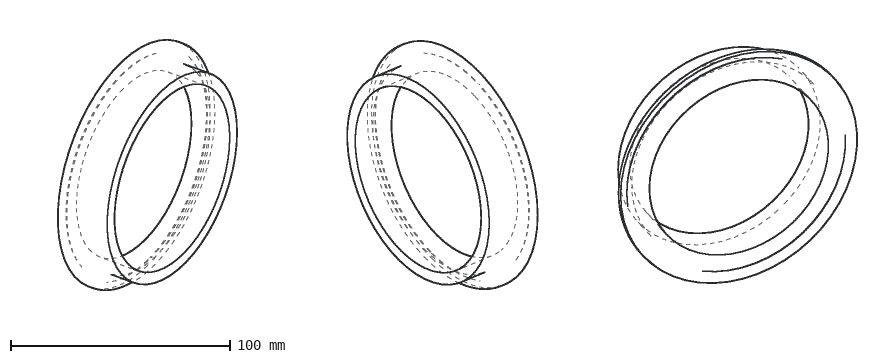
import cadquery as cq
import math

length = 21.5
flange_radius = 59.5
tube_radius = 50.8
bore_radius = 45.0

rim_width = 2.7
back_angle = 20.0
rim_fillet = 0.8
neck_fillet = 2.0

groove_outer_radius = 57.0
groove_inner_radius = 53.0
groove_arc_radius = 1.2
groove_lip_radius = 1.0


def turn(profile):
    """Revolve an (axial, radial) profile about the X axis."""
    return profile.close().revolve(360, (0, 0, 0), (1, 0, 0))


def fillet_ring(body, ring_x, fillet_radius):
    """Round the circular edge lying in the plane x = ring_x."""
    tolerance = 0.1
    reach = flange_radius + tolerance
    slab = cq.selectors.BoxSelector(
        (ring_x - tolerance, -reach, -reach),
        (ring_x + tolerance, reach, reach),
        boundingbox=True,
    )
    return body.edges(slab).fillet(fillet_radius)


def make_body():
    neck_x = rim_width + (flange_radius - tube_radius) * math.tan(math.radians(back_angle))
    outline = [
        (0, bore_radius),
        (0, flange_radius),
        (rim_width, flange_radius),
        (neck_x, tube_radius),
        (length, tube_radius),
        (length, bore_radius),
    ]
    body = turn(cq.Workplane("XY").polyline(outline))
    body = fillet_ring(body, rim_width, rim_fillet)
    body = fillet_ring(body, neck_x, neck_fillet)
    return body


def make_groove():
    middle_radius = (groove_outer_radius + groove_inner_radius) / 2
    half_width = (groove_outer_radius - groove_inner_radius) / 2
    angle = math.asin(half_width / (groove_arc_radius + groove_lip_radius))
    lip_depth = groove_lip_radius * (1 - math.cos(angle))
    groove_depth = lip_depth + groove_arc_radius * (1 - math.cos(angle))
    arc_half_width = groove_arc_radius * math.sin(angle)
    lip_mid_x = groove_lip_radius * (1 - math.cos(angle / 2))
    lip_mid_offset = half_width - groove_lip_radius * math.sin(angle / 2)
    return turn(
        cq.Workplane("XY")
        .moveTo(0, groove_outer_radius)
        .threePointArc(
            (lip_mid_x, middle_radius + lip_mid_offset),
            (lip_depth, middle_radius + arc_half_width),
        )
        .threePointArc(
            (groove_depth, middle_radius),
            (lip_depth, middle_radius - arc_half_width),
        )
        .threePointArc(
            (lip_mid_x, middle_radius - lip_mid_offset),
            (0, groove_inner_radius),
        )
    )


result = make_body().cut(make_groove())